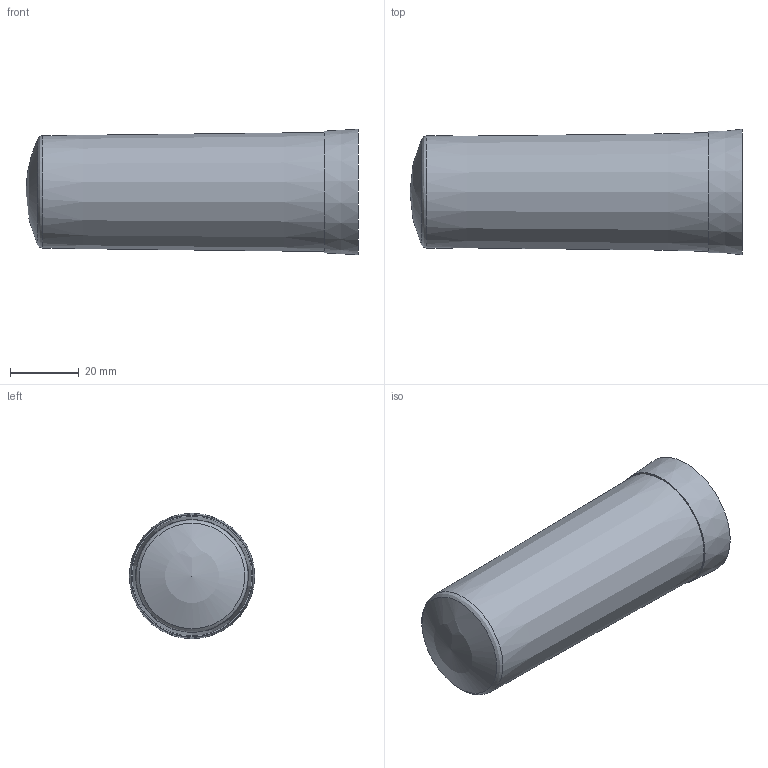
import cadquery as cq
import math

overall_length = 96.26
collar_length = 9.8
collar_end_diameter = 36.37
collar_start_diameter = 35.3
body_end_diameter = 34.5
body_front_diameter = 32.6
dome_radius = 36.6
dome_edge_fillet = 1.75

collar_start_x = overall_length - collar_length


def dome_x(radius):
    """Axial position of the spherical dome at a given distance from the axis."""
    return dome_radius - math.sqrt(dome_radius**2 - radius**2)


def revolved_grip():
    """Domed, slightly tapered body with a flared collar at the +X end."""
    front_radius = body_front_diameter / 2
    front_x = dome_x(front_radius)
    mid_radius = front_radius / 2
    profile = (
        cq.Workplane("XZ")
        .moveTo(0, 0)
        .threePointArc((dome_x(mid_radius), mid_radius), (front_x, front_radius))
        .lineTo(collar_start_x, body_end_diameter / 2)
        .lineTo(collar_start_x, collar_start_diameter / 2)
        .lineTo(overall_length, collar_end_diameter / 2)
        .lineTo(overall_length, 0)
        .close()
    )
    return profile.revolve(360, (0, 0, 0), (1, 0, 0))


def round_dome_edge(grip):
    """Fillet the circular edge where the dome meets the body."""
    rim_center = (dome_x(body_front_diameter / 2), 0, 0)
    rim = grip.edges("%CIRCLE").edges(cq.selectors.NearestToPointSelector(rim_center))
    return rim.fillet(dome_edge_fillet)


result = round_dome_edge(revolved_grip())